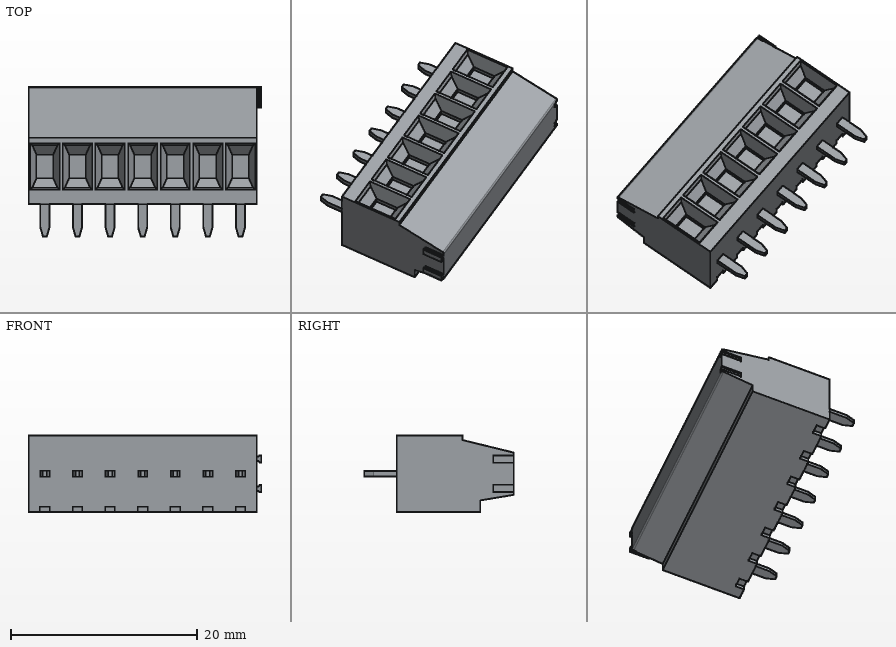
import cadquery as cq


pole_count = 7
pitch = 3.5
body_length = pole_count * pitch
end_x = body_length / 2
pole_centers = [(i - (pole_count - 1) / 2) * pitch for i in range(pole_count)]

body_depth = 12.6
body_height = 8.25
mid_height = body_height / 2
top_flat_depth = 7.1
top_slope_start_z = 7.75
top_slope_end_z = 6.4
bottom_flat_depth = 9.0
bottom_slope_start_z = 1.25
bottom_slope_end_z = 1.85
rear_edge_radius = 0.2

entry_width = 3.15
entry_front_y = 1.57
entry_rear_y = 6.52
entry_depth = 1.5
steep_depth = 0.5
steep_inset = 0.2
well_width = 1.8
well_length = 2.55
well_depth = 0.5

pin_width = 1.0
pin_thickness = 0.6
pin_length = 3.5
pin_taper_length = 1.0
pin_tip_width = 0.42

notch_width = 1.05
notch_height = 0.6
notch_depth = 1.0

key_length = 2.25
key_reach = 0.5
key_neck_reach = 0.18
key_head_reach = 0.33
key_head_inner_z = 1.2
key_neck_inner_z = 1.36
key_neck_outer_z = 1.86
key_tip_outer_z = 1.95
key_head_outer_z = 2.0


def make_body():
    profile = [
        (0, 0),
        (bottom_flat_depth, 0),
        (bottom_flat_depth, bottom_slope_start_z),
        (body_depth, bottom_slope_end_z),
        (body_depth, top_slope_end_z),
        (top_flat_depth, top_slope_start_z),
        (top_flat_depth, body_height),
        (0, body_height),
    ]
    body = cq.Workplane("YZ").polyline(profile).close().extrude(end_x, both=True)
    return body.faces(">Y").edges("|X").fillet(rear_edge_radius)


def make_entry(x):
    """Funnel formed where a trapezoid along Y crosses a stepped profile along X."""
    floor_z = body_height - entry_depth
    middle_y = (entry_front_y + entry_rear_y) / 2
    half_top = entry_width / 2
    half_well = well_width / 2
    across = (
        cq.Workplane("XZ")
        .polyline([
            (x - half_top, body_height),
            (x - half_well, floor_z),
            (x + half_well, floor_z),
            (x + half_top, body_height),
        ])
        .close()
        .extrude(-body_depth)
    )
    along = (
        cq.Workplane("YZ", origin=(x, 0, 0))
        .polyline([
            (entry_front_y, body_height),
            (entry_front_y + steep_inset, body_height - steep_depth),
            (middle_y - well_length / 2, floor_z),
            (middle_y + well_length / 2, floor_z),
            (entry_rear_y - steep_inset, body_height - steep_depth),
            (entry_rear_y, body_height),
        ])
        .close()
        .extrude(pitch / 2, both=True)
    )
    well = (
        cq.Workplane("XY", origin=(x, middle_y, floor_z))
        .rect(well_width, well_length)
        .extrude(-well_depth)
    )
    return across.intersect(along).union(well)


def make_notch(x):
    return (
        cq.Workplane("XY", origin=(x, notch_depth / 2, 0))
        .rect(notch_width, notch_depth)
        .extrude(notch_height)
    )


def make_pin(x):
    half_width = pin_width / 2
    half_tip = pin_tip_width / 2
    taper_start_y = pin_taper_length - pin_length
    return (
        cq.Workplane("XY", origin=(x, 0, mid_height - pin_thickness / 2))
        .polyline([
            (-half_width, 0),
            (-half_width, taper_start_y),
            (-half_tip, -pin_length),
            (half_tip, -pin_length),
            (half_width, taper_start_y),
            (half_width, 0),
        ])
        .close()
        .extrude(pin_thickness)
    )


def make_key(neck_x, direction, side):
    """Dovetail-like bar running forward from the rear face.

    The neck starts at neck_x and the head lies toward direction (+1 or -1 along X).
    The bar is above mid height when side is +1 and mirrored below it when side is -1.
    """
    section = [
        (0, key_neck_inner_z),
        (key_neck_reach, key_neck_inner_z),
        (key_head_reach, key_head_inner_z),
        (key_reach, key_head_inner_z),
        (key_reach, key_tip_outer_z),
        (key_head_reach, key_head_outer_z),
        (key_neck_reach, key_neck_outer_z),
        (0, key_neck_outer_z),
    ]
    points = [(neck_x + direction * reach, mid_height + side * z) for reach, z in section]
    return (
        cq.Workplane("XZ", origin=(0, body_depth, 0))
        .polyline(points)
        .close()
        .extrude(key_length)
    )


result = make_body()
for pole_x in pole_centers:
    result = result.cut(make_entry(pole_x))
    result = result.cut(make_notch(pole_x))
    result = result.union(make_pin(pole_x))

groove_floor_x = key_reach - end_x
for key_side in (1, -1):
    result = result.union(make_key(end_x, 1, key_side))
    result = result.cut(make_key(groove_floor_x, -1, key_side))